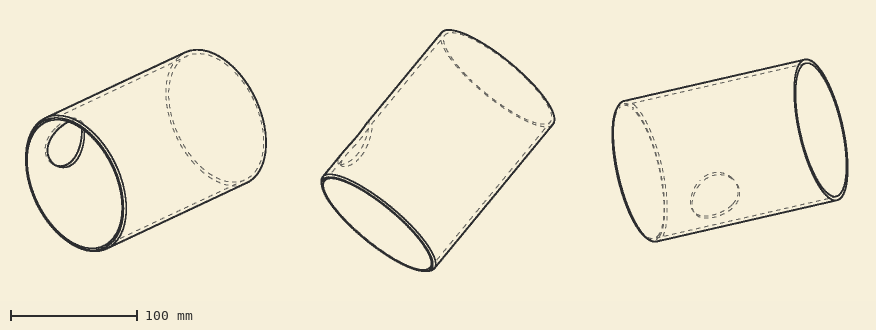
import cadquery as cq

length = 155.5
outer_diameter = 114.3
wall = 3.1
front_chamfer = 1.5

hole_diameter = 40.5
hole_from_front = 42.9

outer_radius = outer_diameter / 2
inner_radius = outer_radius - wall


def tube():
    """Plain tube with a chamfered outer edge at the front end."""
    body = cq.Workplane("XZ").circle(outer_radius).extrude(-length)
    body = body.faces("<Y").chamfer(front_chamfer)
    bore = cq.Workplane("XZ").circle(inner_radius).extrude(-length)
    return body.cut(bore)


def side_hole_cutter():
    """Cylinder from the tube axis outward past the -X wall."""
    return (
        cq.Workplane("YZ")
        .center(hole_from_front, 0)
        .circle(hole_diameter / 2)
        .extrude(-outer_diameter)
    )


result = tube().cut(side_hole_cutter())